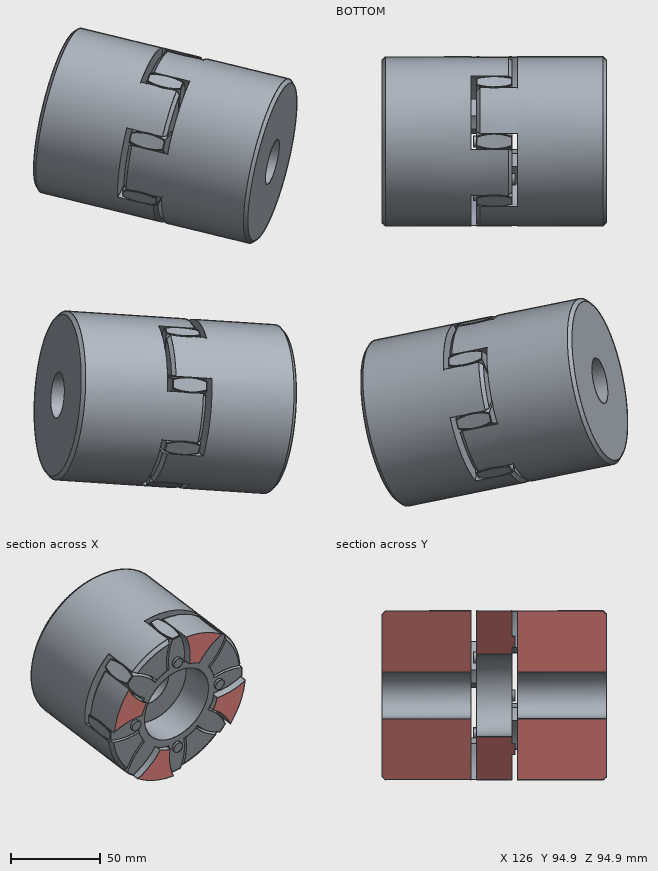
import cadquery as cq
import math


total_length = 126.0
outer_radius = 47.44
bore_radius = 13.0
hub_chamfer = 2.0
jaw_chamfer = 2.0
hub_gap = 26.0
spider_width = 20.0
jaws_per_hub = 4

jaw_inner_radius = 27.7
slot_half_width = 4.4
flank_radius = 37.8
flank_centre_radius = 32.8

spider_hole_radius = 23.0
crown_radius = 32.8
leg_edge_chamfer = 0.4
stud_radius = 3.2
stud_height = 1.6
stud_circle_radius = 30.0

leg_count = 2 * jaws_per_hub
leg_pitch = 360.0 / leg_count
jaw_pitch = 360.0 / jaws_per_hub
hub_body_length = (total_length - hub_gap) / 2
jaw_length = (hub_gap + spider_width) / 2
rim_distance = math.sqrt(outer_radius**2 - slot_half_width**2)
flank_centre_offset = (
    math.sqrt(flank_radius**2 - (rim_distance - flank_centre_radius) ** 2) - slot_half_width
)
crown_drop = crown_radius - math.sqrt(crown_radius**2 - (spider_width / 2) ** 2)


def disc(radius, x_start, length):
    """A cylinder about the X axis, starting at x_start."""
    return cq.Workplane("YZ", origin=(x_start, 0, 0)).circle(radius).extrude(length)


def turned_about_shaft(body, angle):
    return body.rotate((0, 0, 0), (1, 0, 0), angle)


def between_flanks(flank_body):
    """Lens where two copies of a flank body overlap, one at each flank centre of the +Y leg."""
    one_side = flank_body.translate((0, flank_centre_radius, flank_centre_offset))
    other_side = flank_body.translate((0, flank_centre_radius, -flank_centre_offset))
    return one_side.intersect(other_side)


def make_jaws(x_start):
    """All jaws of one hub: each is a sector of a ring, cut back by the leg slots on both sides."""
    ring = disc(outer_radius, x_start, jaw_length).faces(">X").chamfer(jaw_chamfer)
    ring = ring.cut(disc(jaw_inner_radius, x_start, jaw_length))
    slot = between_flanks(disc(flank_radius, x_start, jaw_length))

    reach = 2 * outer_radius
    sector = (
        cq.Workplane("YZ", origin=(x_start, 0, 0))
        .polyline([(0, 0), (reach, 0), (reach, reach * math.tan(math.radians(leg_pitch)))])
        .close()
        .extrude(jaw_length)
    )
    jaw = ring.intersect(sector)
    for leg_angle in (0, leg_pitch):
        jaw = jaw.cut(turned_about_shaft(slot, leg_angle))
    return [turned_about_shaft(jaw, i * jaw_pitch) for i in range(jaws_per_hub)]


def make_hub():
    """The hub at the -X end."""
    hub = disc(outer_radius, -total_length / 2, hub_body_length).faces("<X").chamfer(hub_chamfer)
    hub = hub.cut(disc(bore_radius, -total_length / 2, hub_body_length))
    for jaw in make_jaws(-hub_gap / 2):
        hub = hub.union(jaw)
    return hub


def make_spider():
    """Ring with crowned legs between the jaws and spacer studs on both faces."""
    half_width = spider_width / 2
    crowned_disc = (
        cq.Workplane("XY")
        .moveTo(-half_width, 0)
        .lineTo(-half_width, flank_radius - crown_drop)
        .threePointArc((0, flank_radius), (half_width, flank_radius - crown_drop))
        .lineTo(half_width, 0)
        .close()
        .revolve(360, (0, 0, 0), (1, 0, 0))
    )
    envelope = disc(outer_radius, -half_width, spider_width)
    leg = between_flanks(crowned_disc).intersect(envelope)
    leg = leg.faces(">Y").edges().chamfer(leg_edge_chamfer)

    spider = disc(jaw_inner_radius, -half_width, spider_width)
    for i in range(leg_count):
        spider = spider.union(turned_about_shaft(leg, i * leg_pitch))
    spider = spider.cut(disc(spider_hole_radius, -half_width, spider_width))

    for i in range(leg_count):
        stud_start = half_width if i % 2 else -half_width - stud_height
        stud = disc(stud_radius, stud_start, stud_height).translate((0, stud_circle_radius, 0))
        spider = spider.union(turned_about_shaft(stud, i * leg_pitch))
    return spider


left_hub = make_hub()
right_hub = make_hub().rotate((0, 0, 0), (0, 0, 1), 180)
spider = make_spider()

result = cq.Compound.makeCompound(
    [left_hub.solids().val(), right_hub.solids().val(), spider.solids().val()]
)